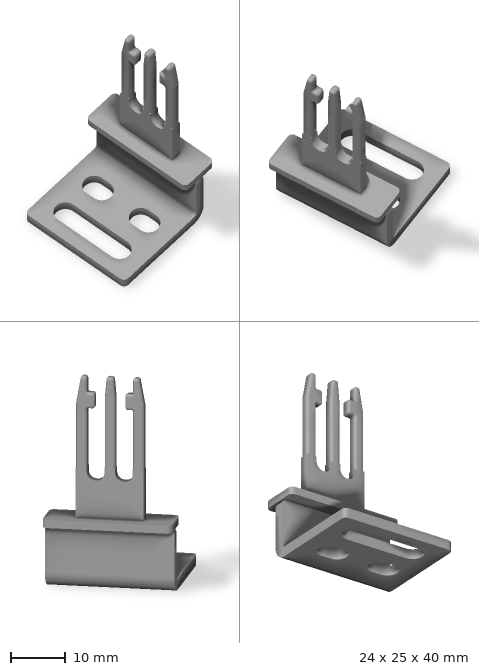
import cadquery as cq
import math

bracket_width = 24.0
bracket_height = 40.0
sheet_thickness = 2.0
flange_length = 22.0
inner_bend_radius = 0.8
outer_bend_radius = inner_bend_radius + sheet_thickness
corner_radius = 1.0
shoulder_height = 12.0
leg_back = sheet_thickness / 2
leg_front = -sheet_thickness / 2
flange_front = leg_back - flange_length

slot_width = 4.4
long_slot_length = 17.4
short_slot_length = 6.2
long_slot_setback = 5.0
slot_row_spacing = 8.0
long_slot_y = flange_front + long_slot_setback
short_slot_y = long_slot_y + slot_row_spacing
short_slot_x = (long_slot_length - short_slot_length) / 2

tongue_width = 12.6
middle_prong_width = 2.0
outer_prong_width = 2.05
gap_width = (tongue_width - middle_prong_width) / 2 - outer_prong_width
gap_x = (middle_prong_width + gap_width) / 2
gap_bottom_height = 20.5
gap_corner_radius = 1.55
rounding_start = 23.0
edge_radius = 0.5
tongue_edge = tongue_width / 2
prong_inner_edge = tongue_edge - outer_prong_width

middle_taper_start = 36.0
middle_taper_angle = 5.0
outer_taper_start = 35.0
outer_taper_angle = 10.3

hook_bottom = 34.0
hook_top = 37.0
hook_tip_x = 2.8
hook_root_radius = 0.25

collar_depth = 8.0
collar_thickness = 1.5


def taper_inset(start_height, angle):
    """Sideways shrink of a tapered prong between the taper start and the tip."""
    return (bracket_height - start_height) * math.tan(math.radians(angle))


def extrude_through_sheet(outline):
    """Extrude an XZ outline over the full thickness of the leg."""
    return outline.extrude(sheet_thickness / 2, both=True)


def make_bent_sheet():
    """L-shaped sheet with concentric bend radii, up to the shoulder."""
    sheet = (
        cq.Workplane("YZ")
        .moveTo(flange_front, 0)
        .lineTo(leg_back - outer_bend_radius, 0)
        .radiusArc((leg_back, outer_bend_radius), -outer_bend_radius)
        .lineTo(leg_back, shoulder_height)
        .lineTo(leg_front, shoulder_height)
        .lineTo(leg_front, sheet_thickness + inner_bend_radius)
        .radiusArc((leg_front - inner_bend_radius, sheet_thickness), inner_bend_radius)
        .lineTo(flange_front, sheet_thickness)
        .close()
        .extrude(bracket_width / 2, both=True)
    )
    sheet = sheet.faces("<Y").edges("|Z").fillet(corner_radius)
    return sheet.faces(">Z").edges("|Y").fillet(corner_radius)


def make_flange_slots():
    """Cutter for one long slot and a pair of short slots, all along X."""
    long_slot = cq.Workplane("XY").center(0, long_slot_y).slot2D(long_slot_length, slot_width)
    short_slots = (
        cq.Workplane("XY")
        .pushPoints([(-short_slot_x, short_slot_y), (short_slot_x, short_slot_y)])
        .slot2D(short_slot_length, slot_width)
    )
    return long_slot.extrude(sheet_thickness).union(short_slots.extrude(sheet_thickness))


def make_tongue_root():
    """Plain lower part of the tongue with the round-cornered bottoms of the two gaps."""
    root_height = rounding_start - shoulder_height
    root = cq.Workplane("XY").workplane(offset=shoulder_height).rect(tongue_width, sheet_thickness)
    root = root.extrude(root_height)
    gap_depth = rounding_start - gap_bottom_height
    for x in (-gap_x, gap_x):
        gap = (
            cq.Workplane("XY", origin=(x, 0, gap_bottom_height))
            .rect(gap_width, sheet_thickness)
            .extrude(gap_depth)
            .faces("<Z")
            .edges("|Y")
            .fillet(gap_corner_radius)
        )
        root = root.cut(gap)
    return root


def make_middle_prong():
    """Straight prong tapered on both sides toward the tip."""
    base_half = middle_prong_width / 2
    tip_half = base_half - taper_inset(middle_taper_start, middle_taper_angle)
    outline = cq.Workplane("XZ").polyline([
        (-base_half, rounding_start),
        (-base_half, middle_taper_start),
        (-tip_half, bracket_height),
        (tip_half, bracket_height),
        (base_half, middle_taper_start),
        (base_half, rounding_start),
    ]).close()
    prong = extrude_through_sheet(outline)
    rounded_edges = prong.faces("<Y or >Y").edges("not <Z").add(prong.faces(">Z").edges("|Y"))
    return rounded_edges.fillet(edge_radius)


def make_outer_prong():
    """Right-hand prong: tapered outer side and a snap hook on the inner side."""
    tip_x = tongue_edge - taper_inset(outer_taper_start, outer_taper_angle)
    outline = cq.Workplane("XZ").polyline([
        (tongue_edge, rounding_start),
        (tongue_edge, outer_taper_start),
        (tip_x, bracket_height),
        (prong_inner_edge, bracket_height),
        (prong_inner_edge, hook_top),
        (hook_tip_x, hook_top),
        (hook_tip_x, hook_bottom),
        (prong_inner_edge, hook_bottom),
        (prong_inner_edge, rounding_start),
    ]).close()
    prong = extrude_through_sheet(outline)

    root_zone = cq.selectors.BoxSelector(
        (prong_inner_edge - hook_root_radius, -sheet_thickness, hook_bottom - hook_root_radius),
        (prong_inner_edge + hook_root_radius, sheet_thickness, hook_top + hook_root_radius),
    )
    prong = prong.edges("|Y").edges(root_zone).fillet(hook_root_radius)

    tip_edges = prong.faces(">Z").edges("|Y")
    hook_edges = prong.faces("<X").edges("|Y")
    rounded_edges = prong.faces("<Y or >Y").edges("not <Z").add(tip_edges).add(hook_edges)
    return rounded_edges.fillet(edge_radius)


def make_bracket():
    """Bent sheet with flange slots and the three-pronged tongue, as one solid."""
    outer_prong = make_outer_prong()
    return (
        make_bent_sheet()
        .cut(make_flange_slots())
        .union(make_tongue_root())
        .union(make_middle_prong())
        .union(outer_prong)
        .union(outer_prong.mirror("YZ"))
    )


def make_collar():
    """Rectangular plate with a window that fits around the tongue."""
    blank = cq.Workplane("XY").workplane(offset=shoulder_height).rect(bracket_width, collar_depth)
    plate = blank.extrude(collar_thickness).edges("|Z").fillet(corner_radius)
    window = cq.Workplane("XY").workplane(offset=shoulder_height).rect(tongue_width, sheet_thickness)
    return plate.cut(window.extrude(collar_thickness))


bracket = make_bracket()
collar = make_collar()
result = cq.Compound.makeCompound([bracket.val(), collar.val()])